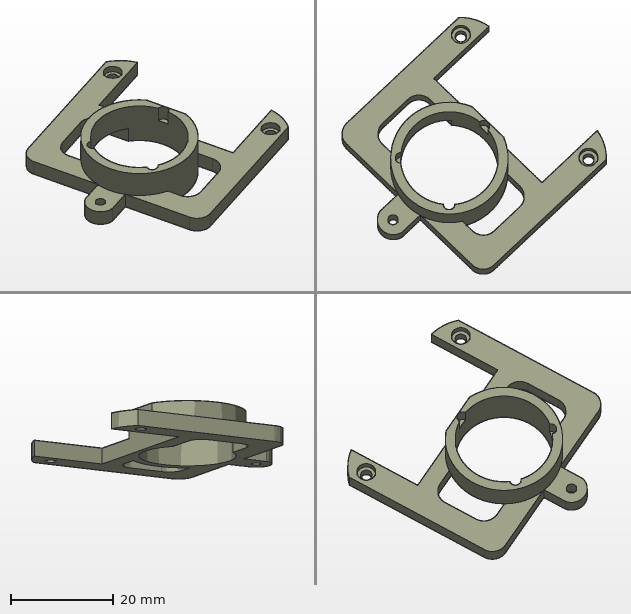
import cadquery as cq

width = 41.0
length = 44.35
height = 8.7
half_width = width / 2

plate_thickness = 3.2
plate_front_y = -11.0
bridge_back_y = 10.6
corner_radius = 3.0

arm_inner_x = 15.05
arm_outer_end_y = 22.95
arm_end_radius = 10.0

screw_x = 17.75
screw_y = 20.7
screw_diameter = 2.2
counterbore_diameter = 3.7
counterbore_depth = 1.35

tab_half_width = 3.05
tab_tip_y = -18.55
tab_arc_rise = 2.5
tab_hole_y = -15.5
tab_hole_diameter = 2.0
tab_side_end_y = tab_tip_y + tab_arc_rise
arm_tip_y = tab_tip_y + length

window_half_width = 15.55
window_front_y = -6.05
window_back_y = 7.0

ring_diameter = 23.0
bore_diameter = 19.1
ring_height = height - plate_thickness

notch_diameter = 2.2
notch_center_radius = 9.45
notch_depth = 3.1
notch_angles = (90, 225, 315)


def make_plate():
    """U-shaped plate with rounded front corners and arched arm ends."""
    plate = (
        cq.Workplane("XY")
        .moveTo(-half_width, plate_front_y)
        .lineTo(half_width, plate_front_y)
        .lineTo(half_width, arm_outer_end_y)
        .radiusArc((arm_inner_x, arm_tip_y), -arm_end_radius)
        .lineTo(arm_inner_x, bridge_back_y)
        .lineTo(-arm_inner_x, bridge_back_y)
        .lineTo(-arm_inner_x, arm_tip_y)
        .radiusArc((-half_width, arm_outer_end_y), -arm_end_radius)
        .close()
        .extrude(plate_thickness)
    )
    return plate.faces("<Y").edges("|Z").fillet(corner_radius)


def make_window():
    """Rounded opening through the plate, keeping the ring's support on the +X side."""
    window_length = window_back_y - window_front_y
    window_center_y = (window_back_y + window_front_y) / 2
    opening = (
        cq.Workplane("XY")
        .center(0, window_center_y)
        .rect(2 * window_half_width, window_length)
        .extrude(plate_thickness)
        .edges("|Z")
        .fillet(corner_radius)
    )
    ring_radius = ring_diameter / 2
    ring_support = (
        cq.Workplane("XY")
        .moveTo(0, -ring_radius)
        .threePointArc((ring_radius, 0), (0, ring_radius))
        .close()
        .extrude(plate_thickness)
    )
    return opening.cut(ring_support)


def make_tab():
    """Round-ended tab on the front edge of the plate."""
    return (
        cq.Workplane("XY")
        .moveTo(-tab_half_width, plate_front_y)
        .lineTo(-tab_half_width, tab_side_end_y)
        .threePointArc((0, tab_tip_y), (tab_half_width, tab_side_end_y))
        .lineTo(tab_half_width, plate_front_y)
        .close()
        .extrude(plate_thickness)
    )


def make_ring():
    """Disc on top of the plate, cut flat in line with the back of the bridge."""
    plate_top = cq.Workplane("XY", origin=(0, 0, plate_thickness))
    disc = plate_top.circle(ring_diameter / 2).extrude(ring_height)
    behind_bridge = (
        cq.Workplane("XY", origin=(0, 0, plate_thickness))
        .center(0, bridge_back_y + ring_diameter / 2)
        .rect(ring_diameter, ring_diameter)
        .extrude(ring_height)
    )
    return disc.cut(behind_bridge)


def make_notches():
    """Blind round pockets sunk from the top of the ring."""
    notches = cq.Workplane("XY")
    for angle in notch_angles:
        notch = (
            cq.Workplane("XY", origin=(0, 0, height - notch_depth))
            .center(notch_center_radius, 0)
            .circle(notch_diameter / 2)
            .extrude(notch_depth)
            .rotate((0, 0, 0), (0, 0, 1), angle)
        )
        notches = notches.add(notch)
    return notches.combine()


bore = cq.Workplane("XY").circle(bore_diameter / 2).extrude(height)
tab_hole = (
    cq.Workplane("XY")
    .center(0, tab_hole_y)
    .circle(tab_hole_diameter / 2)
    .extrude(plate_thickness)
)

result = make_plate().cut(make_window()).union(make_tab()).union(make_ring())
result = result.cut(bore).cut(make_notches()).cut(tab_hole)
result = (
    result.copyWorkplane(cq.Workplane("XY", origin=(0, 0, plate_thickness)))
    .pushPoints([(-screw_x, screw_y), (screw_x, screw_y)])
    .cboreHole(screw_diameter, counterbore_diameter, counterbore_depth)
)